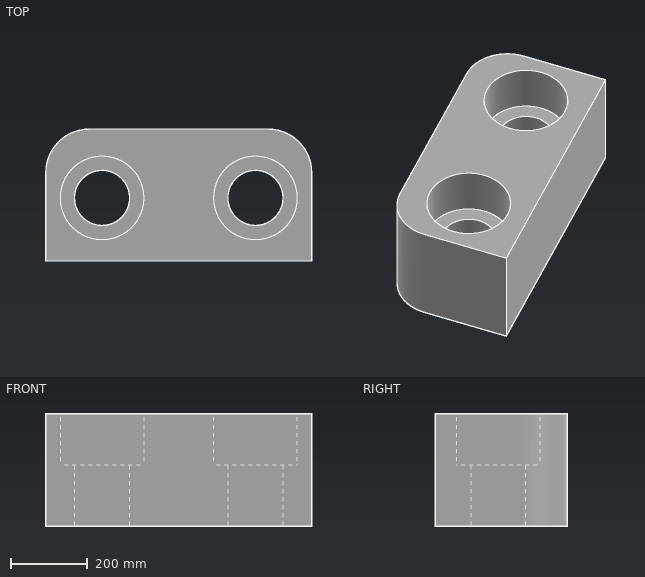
import cadquery as cq

length = 695.0
width = 345.0
height = 295.0
corner_radius = 115.0

hole_spacing = 400.0
hole_from_front = 165.0
bore_diameter = 143.0
counterbore_diameter = 218.0
counterbore_depth = 135.0

block = cq.Workplane("XY").box(length, width, height, centered=(True, True, False))
block = block.edges("|Z and >Y").fillet(corner_radius)

hole_y = hole_from_front - width / 2
hole_centers = [(side * hole_spacing / 2, hole_y) for side in (-1, 1)]
result = (
    block.faces(">Z")
    .workplane(origin=(0, 0, height))
    .pushPoints(hole_centers)
    .cboreHole(bore_diameter, counterbore_diameter, counterbore_depth)
)